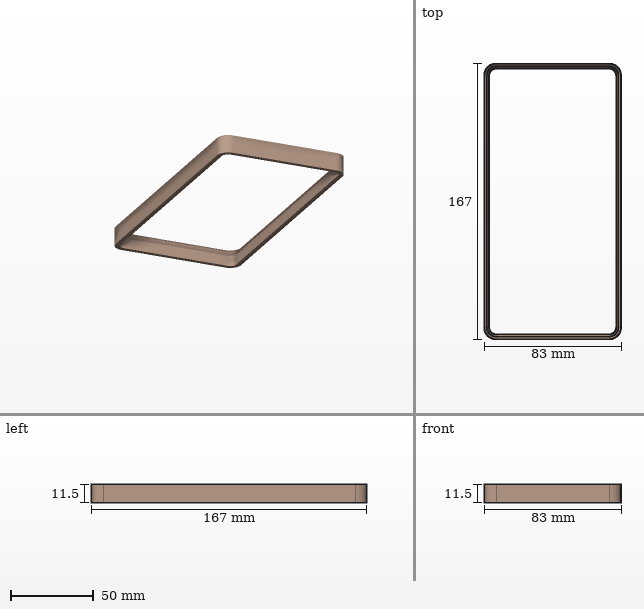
import cadquery as cq

WIDTH = 83.0
LENGTH = 167.0
HEIGHT = 11.45
CORNER_RADIUS = 7.25

UPPER_BEVEL = 1.65
LIP_WALL_HEIGHT = 1.8
LOWER_BEVEL = 1.45
BEVEL_TAPER = -45.0

WALL_THICKNESS = UPPER_BEVEL + LOWER_BEVEL
LIP_WALL_TOP = HEIGHT - UPPER_BEVEL
LIP_WALL_BOTTOM = LIP_WALL_TOP - LIP_WALL_HEIGHT
OPENING_TOP = LIP_WALL_BOTTOM - LOWER_BEVEL


def rounded_block(inset, bottom, top, taper=0.0):
    """Block whose base is inset from the outer wall, with corners concentric to the frame's."""
    return (
        cq.Workplane("XY")
        .workplane(offset=bottom)
        .sketch()
        .rect(WIDTH - 2 * inset, LENGTH - 2 * inset)
        .vertices()
        .fillet(CORNER_RADIUS - inset)
        .finalize()
        .extrude(top - bottom, taper=taper)
    )


def stepped_opening():
    """Through opening: straight bore, lower bevel, lip wall and upper bevel, bottom to top."""
    bore = rounded_block(WALL_THICKNESS, 0, OPENING_TOP)
    lower_bevel = rounded_block(WALL_THICKNESS, OPENING_TOP, LIP_WALL_BOTTOM, BEVEL_TAPER)
    lip_wall = rounded_block(UPPER_BEVEL, LIP_WALL_BOTTOM, LIP_WALL_TOP)
    upper_bevel = rounded_block(UPPER_BEVEL, LIP_WALL_TOP, HEIGHT, BEVEL_TAPER)
    return bore.union(lower_bevel).union(lip_wall).union(upper_bevel)


body = rounded_block(0, 0, HEIGHT)
result = body.cut(stepped_opening())